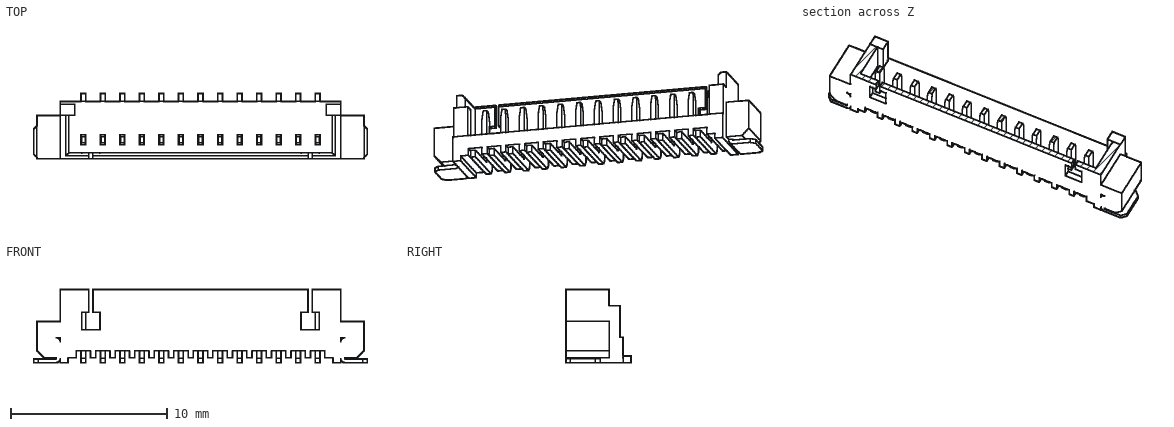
import cadquery as cq


overall_length = 21.4
overall_depth = 4.2
overall_height = 4.7

housing_length = 17.98
housing_depth = 3.68
body_bottom = 0.32
floor_top = 1.65
side_wall_depth = 2.78
side_wall = 0.55
front_wall = 0.39
rim_chamfer = 0.2
post_back = 3.49
post_width = 0.95
post_top = 3.65
foot_width = 0.51

wing_span = 20.97
wing_top = 2.65
wing_chamfer = 0.45

slot_center = 7.02
slot_width = 0.25
window_width = 1.15
window_bottom = 2.12
window_top = 3.23

pin_count = 13
pin_span = 15.0
pin_width = 0.32
pin_front = 0.9
pin_depth = 0.65
pin_top = 3.98
heel_front = 0.25
heel_height = 0.3
heel_run = 0.25
tail_thickness = 0.45
tip_side_inset = 0.05
tip_end_inset = 0.13
tip_height = 0.58
relief_width = 0.9
relief_top = 0.77

tab_thickness = 0.25
tab_depth = 2.2
tab_top = 1.6
tab_hook_end = 9.87
tab_corner_chamfer = 0.3

half_length = housing_length / 2
half_wing = wing_span / 2
cavity_length = housing_length - 2 * side_wall
pin_pitch = pin_span / (pin_count - 1)
pin_places = [-pin_span / 2 + i * pin_pitch for i in range(pin_count)]


def box(x_min, x_max, y_min, y_max, z_min, z_max):
    """Block between opposite corners."""
    size = (x_max - x_min, y_max - y_min, z_max - z_min)
    return cq.Workplane("XY").box(*size, centered=False).translate((x_min, y_min, z_min))


def mirrored(shape):
    """The shape at the right end together with its twin at the left end."""
    return shape.union(shape.mirror("YZ"))


def make_cavity():
    """Mating cavity above the floor, open at the back, with a chamfered rim."""
    half_cavity = cavity_length / 2
    cavity = box(-half_cavity, half_cavity, front_wall, housing_depth, floor_top, overall_height)
    rim_length = cavity_length + 2 * rim_chamfer
    rim_y = front_wall - rim_chamfer
    lead_in = (
        cq.Workplane("XY", origin=(0, housing_depth, overall_height))
        .rect(rim_length, 2 * (housing_depth - rim_y))
        .workplane(offset=-rim_chamfer)
        .rect(cavity_length, 2 * (housing_depth - front_wall))
        .loft(ruled=True)
    )
    return cavity.union(lead_in)


def make_housing():
    """Floor, three walls and the two lower posts at the back corners."""
    floor = box(-half_length, half_length, 0, housing_depth, body_bottom, floor_top)
    walls = box(-half_length, half_length, 0, side_wall_depth, floor_top, overall_height)
    post = box(half_length - post_width, half_length, side_wall_depth, post_back, floor_top, post_top)
    foot = box(half_length - foot_width, half_length, 0, housing_depth, 0, body_bottom)
    return floor.union(walls.cut(make_cavity())).union(mirrored(post)).union(mirrored(foot))


def make_wing():
    """Solid block beside the right end wall, chamfered along its lower outer edge."""
    wing = box(half_length, half_wing, 0, side_wall_depth, body_bottom, wing_top)
    return wing.edges(">X and <Z").chamfer(wing_chamfer)


def make_front_opening():
    """Narrow slot down from the rim that widens into a window."""
    half_slot = slot_width / 2
    half_window = window_width / 2
    slot = box(-half_slot, half_slot, 0, front_wall, window_bottom, overall_height)
    window = box(-half_window, half_window, 0, front_wall, window_bottom, window_top)
    return slot.union(window).translate((slot_center, 0, 0))


def make_pin(x):
    """Upright blade with a tapered tip on a foot that runs from a sloped heel to the tail."""
    pin_back = pin_front + pin_depth
    half_width = pin_width / 2
    shoulder = pin_top - tip_height
    blade = box(x - half_width, x + half_width, pin_front, pin_back, relief_top, shoulder)
    foot_outline = [
        (heel_front, relief_top),
        (heel_front, heel_height),
        (heel_front + heel_run, 0),
        (overall_depth, 0),
        (overall_depth, tail_thickness),
        (pin_back, tail_thickness),
        (pin_back, relief_top),
    ]
    foot = (
        cq.Workplane("YZ", origin=(x - half_width, 0, 0))
        .polyline(foot_outline)
        .close()
        .extrude(pin_width)
    )
    tip = (
        cq.Workplane("XY", origin=(x, pin_front + pin_depth / 2, shoulder))
        .rect(pin_width, pin_depth)
        .workplane(offset=tip_height)
        .rect(pin_width - 2 * tip_side_inset, pin_depth - 2 * tip_end_inset)
        .loft(ruled=True)
    )
    return blade.union(foot).union(tip)


def make_tab_pocket():
    """Square-cornered seat in the right wing for the upper part of the solder tab."""
    wall_seat = box(half_length, half_length + tab_thickness, 0, tab_depth, 0, tab_top)
    hook_seat = box(half_length, tab_hook_end, 0, tab_depth, tab_top - tab_thickness, tab_top)
    return wall_seat.union(hook_seat)


def make_tab():
    """C-shaped bent solder tab at the right end, with rounded outer bends."""
    half_overall = overall_length / 2
    foot_plate = box(half_length, half_overall, 0, tab_depth, 0, tab_thickness)
    foot_plate = foot_plate.edges(">X and |Z").chamfer(tab_corner_chamfer)
    tab = make_tab_pocket().union(foot_plate)
    return tab.edges("<X and |Y").fillet(tab_thickness)


housing = make_housing().union(mirrored(make_wing()))
housing = housing.cut(mirrored(make_front_opening()))
housing = housing.cut(mirrored(make_tab_pocket()))
half_relief = relief_width / 2
for pin_x in pin_places:
    housing = housing.cut(box(pin_x - half_relief, pin_x + half_relief, 0, housing_depth, 0, relief_top))

result = housing
for pin_x in pin_places:
    result = result.union(make_pin(pin_x))

result = result.union(mirrored(make_tab()), clean=False)